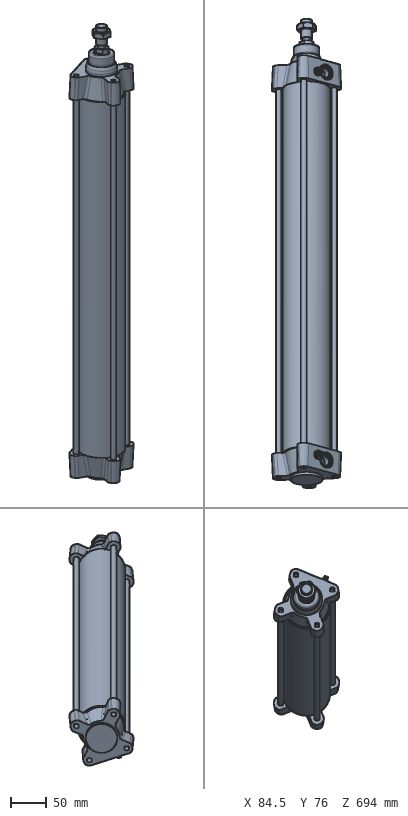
import cadquery as cq
import math

total_height = 694.0
joint_overlap = 1.0
tolerance = 0.1
spigot_height = 4.0
cap_height = 35.0
collar_base_z = 624.5
front_cap_z = collar_base_z - cap_height
barrel_bottom_z = spigot_height + cap_height

barrel_diameter = 68.0
tie_rod_diameter = 8.0
bolt_spacing = 56.0
bolt_offset = bolt_spacing / 2
bolt_hole_diameter = 7.0
bolt_hole_depth = 14.0

cap_half_width = 38.0
cap_draft = 2.5
cap_corner_radius = cap_half_width - bolt_offset
arm_wall_offset = 13.0
boss_diameter = 45.0
notch_base_diameter = 63.0
notch_top_diameter = 51.5
notch_angles = (0, 180, 270)
notch_root_radius = 5.0
arm_edge_radius = 6.0

port_y = -6.0
port_height = 17.5
port_steps = [(23.0, 2.0), (19.5, 4.0), (14.5, 14.0)]
screw_y = 11.0
screw_height = 14.0
screw_base_diameter = 12.0
screw_head_diameter = 6.0
screw_base_x = -41.0
screw_tip_x = -46.5
screw_slot_width = 3.0
screw_slot_depth = 2.0

collar_diameter = 37.0
collar_top_z = 653.0
collar_top_radius = 2.0
collar_root_z = 640.5
shoulder_z = 638.0
shoulder_inner_diameter = 37.5
shoulder_outer_diameter = 39.0
rim_z = 633.0
rim_diameter = 43.0
boss_top_z = 629.0
recess_diameter = 23.0
recess_depth = 2.0

rod_diameter = 20.0
rod_bottom_z = front_cap_z
shank_top_z = 661.0
flat_bottom_z = 654.5
neck_diameter = 12.0
thread_diameter = 16.0
thread_chamfer = 1.0
thread_start_z = 666.0
flat_width = 17.5
nut_across_flats = 24.0
nut_bottom_z = 679.0
nut_height = 8.0
nut_chamfer = 2.0


def cylinder(diameter, z_low, z_high):
    """Solid cylinder on the Z axis between two heights."""
    return cq.Workplane("XY").workplane(offset=z_low).circle(diameter / 2).extrude(z_high - z_low)


def bolt_positions():
    """Corners of the bolt square."""
    return [(x, y) for x in (-bolt_offset, bolt_offset) for y in (-bolt_offset, bolt_offset)]


def notch(angle):
    """Cutter between two 45 degree walls with a conical floor, opening at the given angle from +Y."""
    reach = 2 * cap_half_width
    outer_y = arm_wall_offset + reach
    wedge = (
        cq.Workplane("XY")
        .polyline([(0, arm_wall_offset), (reach, outer_y), (-reach, outer_y)])
        .close()
        .extrude(cap_height)
    )
    floor_cone = cq.Solid.makeCone(notch_base_diameter / 2, notch_top_diameter / 2, cap_height)
    wedge = wedge.cut(cq.Workplane(floor_cone))
    wedge = wedge.edges().filter(is_root_edge).fillet(notch_root_radius)
    return wedge.rotate((0, 0, 0), (0, 0, 1), angle)


def is_upright(edge):
    """True for edges that run from the bottom face to the top face of a cap."""
    box = edge.BoundingBox()
    return math.isclose(box.zlen, cap_height, abs_tol=tolerance)


def is_root_edge(edge):
    """True for the upright edges where a notch wall meets the conical floor."""
    return is_upright(edge) and edge.Center().y < cap_half_width


def is_arm_edge(edge):
    """True for the upright edges where a notch wall meets an outer face of the cap."""
    center = edge.Center()
    near, far = sorted((abs(center.x), abs(center.y)))
    on_wall = math.isclose(far - near, arm_wall_offset, abs_tol=tolerance)
    at_outer_face = far > notch_base_diameter / 2
    return is_upright(edge) and on_wall and at_outer_face


def make_cap():
    """Cap with its barrel side on Z = 0 and its outer face at Z = cap_height."""
    block = (
        cq.Workplane("XY")
        .sketch()
        .rect(2 * cap_half_width, 2 * cap_half_width)
        .vertices()
        .fillet(cap_corner_radius)
        .finalize()
        .extrude(cap_height, taper=cap_draft)
    )
    for angle in notch_angles:
        block = block.cut(notch(angle))
    block = block.edges().filter(is_arm_edge).fillet(arm_edge_radius)
    holes = (
        cq.Workplane("XY")
        .workplane(offset=cap_height - bolt_hole_depth)
        .pushPoints(bolt_positions())
        .circle(bolt_hole_diameter / 2)
        .extrude(bolt_hole_depth)
    )
    block = block.cut(holes)
    return add_screw(cut_port(block))


def x_cylinder(diameter, x_start, x_end, y, z):
    """Solid cylinder parallel to X."""
    return cq.Workplane("YZ", origin=(x_start, y, z)).circle(diameter / 2).extrude(x_end - x_start)


def cut_port(cap):
    """Cut the stepped air port into the -X face."""
    for diameter, depth in port_steps:
        cap = cap.cut(x_cylinder(diameter, -cap_half_width, depth - cap_half_width, port_y, port_height))
    return cap


def add_screw(cap):
    """Add the slotted cushion screw and its round base on the -X face."""
    base = x_cylinder(screw_base_diameter, screw_base_x, -bolt_offset, screw_y, screw_height)
    head = x_cylinder(screw_head_diameter, screw_tip_x, -bolt_offset, screw_y, screw_height)
    slot = cq.Workplane("XY", origin=(screw_tip_x, screw_y, screw_height)).box(
        2 * screw_slot_depth, screw_base_diameter, screw_slot_width
    )
    return cap.union(base).union(head.cut(slot))


def make_collar():
    """Stepped collar turned about Z, with a recess around the rod."""
    profile = [
        (0, collar_base_z - joint_overlap),
        (boss_diameter / 2, collar_base_z - joint_overlap),
        (boss_diameter / 2, boss_top_z),
        (rim_diameter / 2, rim_z),
        (shoulder_outer_diameter / 2, shoulder_z),
        (shoulder_inner_diameter / 2, shoulder_z),
        (collar_diameter / 2, collar_root_z),
        (collar_diameter / 2, collar_top_z),
        (0, collar_top_z),
    ]
    collar = cq.Workplane("XZ").polyline(profile).close().revolve(360, (0, 0, 0), (0, 1, 0))
    collar = collar.faces(">Z").edges().fillet(collar_top_radius)
    return collar.cut(cylinder(recess_diameter, collar_top_z - recess_depth, collar_top_z))


def make_rod():
    """Piston rod with two wrench flats, a neck and a threaded end."""
    slab = (
        cq.Workplane("XY")
        .workplane(offset=flat_bottom_z)
        .rect(rod_diameter, flat_width)
        .extrude(shank_top_z - flat_bottom_z)
    )
    shank = cylinder(rod_diameter, rod_bottom_z, flat_bottom_z).union(
        cylinder(rod_diameter, flat_bottom_z, shank_top_z).intersect(slab)
    )
    neck = cylinder(neck_diameter, shank_top_z, thread_start_z)
    thread = cylinder(thread_diameter, thread_start_z, total_height).faces(">Z").chamfer(thread_chamfer)
    return shank.union(neck).union(thread)


def make_nut():
    """Hexagon nut with two corners on the X axis and its upper corners chamfered."""
    corner_diameter = nut_across_flats / math.cos(math.pi / 6)
    nut_top_z = nut_bottom_z + nut_height
    base_plane = cq.Workplane("XY").workplane(offset=nut_bottom_z)
    hexagon = base_plane.polygon(6, corner_diameter).extrude(nut_height)
    chamfered_disc = cylinder(corner_diameter, nut_bottom_z, nut_top_z).faces(">Z").chamfer(nut_chamfer)
    return hexagon.intersect(chamfered_disc).cut(cylinder(thread_diameter, nut_bottom_z, nut_top_z))


def make_tie_rods():
    """Four tie rods between the caps."""
    return (
        cq.Workplane("XY")
        .workplane(offset=barrel_bottom_z)
        .pushPoints(bolt_positions())
        .circle(tie_rod_diameter / 2)
        .extrude(front_cap_z - barrel_bottom_z)
    )


def make_housing():
    """Barrel, caps, tie rods, spigot and collar as one body with a blind hole for the rod."""
    front_cap = make_cap().translate((0, 0, front_cap_z))
    rear_cap = make_cap().mirror("XY").translate((0, 0, barrel_bottom_z))
    spigot = cylinder(boss_diameter, 0, spigot_height + joint_overlap)
    housing = cylinder(barrel_diameter, barrel_bottom_z, front_cap_z)
    for piece in (front_cap, rear_cap, spigot, make_collar(), make_tie_rods()):
        housing = housing.union(piece)
    return housing.cut(cylinder(rod_diameter, rod_bottom_z, collar_top_z))


housing = make_housing()
rod = make_rod()
nut = make_nut()

result = cq.Compound.makeCompound([housing.val(), rod.val(), nut.val()])